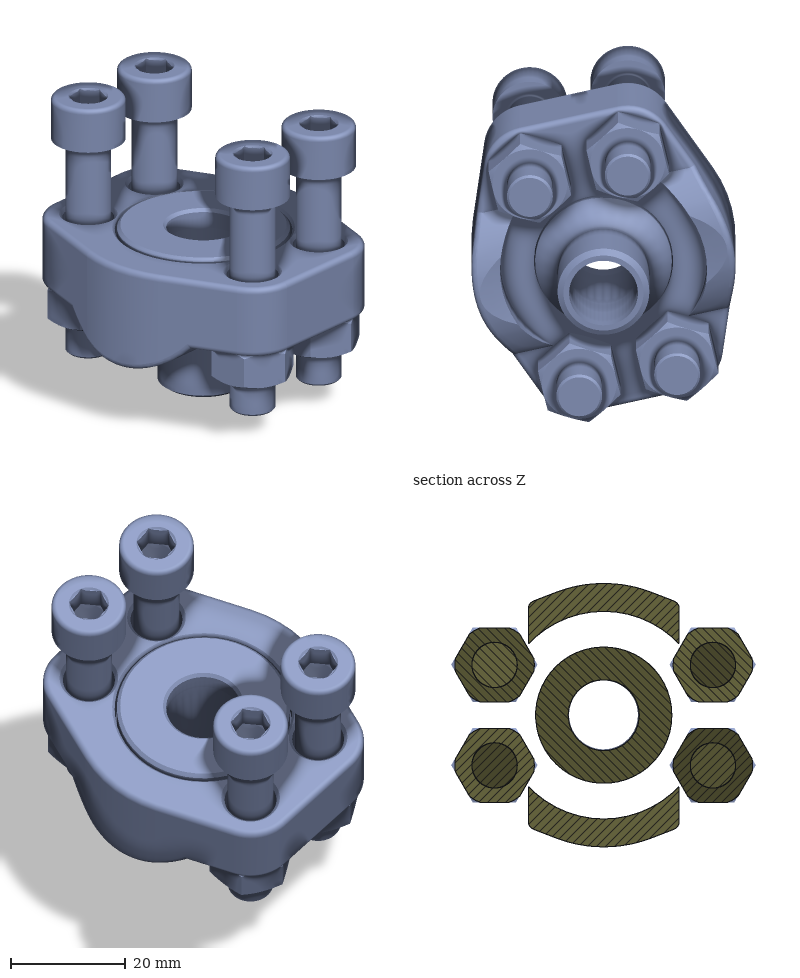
import cadquery as cq
import math

overall_height = 51.6

bolt_spacing_x = 38.0
bolt_spacing_y = 17.5
corner_x = bolt_spacing_x / 2
corner_y = bolt_spacing_y / 2
bolt_places = [(sign_x * corner_x, sign_y * corner_y, 0) for sign_x in (-1, 1) for sign_y in (-1, 1)]

flange_length = 54.0
flange_width = 45.95
flange_thickness = 13.0
end_radius = flange_width / 2
corner_radius = flange_length / 2 - corner_x
edge_fillet = 1.0
bolt_hole_diameter = 9.0
bolt_hole_chamfer = 0.6
seat_bore_diameter = 30.95
seat_bore_chamfer = 0.45
neck_bore_diameter = 24.25

lobe_depth = 6.0
lobe_radius = 18.0
hollow_diameter = 36.05
hollow_flare_height = 1.2
hollow_flare_width = 3.95

nipple_rise = 0.55
nipple_top = flange_thickness + nipple_rise
nipple_head_diameter = 30.2
nipple_head_height = 6.5
nipple_head_chamfer = 0.6
nipple_neck_diameter = 23.8
nipple_cone_top = -0.6
nipple_cone_bottom = -5.35
nipple_cone_fillet = 0.8
nipple_tube_diameter = 16.0
nipple_bottom = -16.25
nipple_tip_run = 1.0
nipple_tip_rise = 0.7
mouth_diameter = 13.0
mouth_chamfer = 0.55
mouth_depth = 3.45
nipple_bore_diameter = 12.0
bore_taper_bottom = nipple_cone_bottom
seat_height = nipple_top - nipple_head_height

bolt_top = nipple_bottom + overall_height
bolt_bottom = -12.95
bolt_diameter = 8.0
bolt_tip_chamfer = 0.4
head_diameter = 13.0
head_height = 8.0
head_bottom = bolt_top - head_height
head_fillet = 0.8
neck_diameter = 7.8
neck_length = 0.95
neck_fillet = 0.4
socket_width = 6.0
socket_depth = 4.55
socket_cone_height = 1.75
socket_mouth_diameter = 6.95
socket_chamfer = 0.3
socket_angle = -24.0

nut_width = 13.0
nut_height = 6.5
nut_face_diameter = 13.0
nut_chamfer_angle = 30.0

selection_margin = 0.05


def across_corners(width_across_flats):
    return width_across_flats / math.cos(math.radians(30))


def cylinder(diameter, bottom, top):
    return cq.Workplane("XY", origin=(0, 0, bottom)).circle(diameter / 2).extrude(top - bottom)


def countersink(diameter, top, size):
    """A 45 degree cone that breaks the upper rim of a hole by the given size."""
    return cq.Workplane(cq.Solid.makeCone(diameter / 2, diameter / 2 + size, size, (0, 0, top - size)))


def round_edge(diameter, height):
    """Selects the circular edge of the given diameter about Z that lies at the given height."""
    half_width = diameter / 2 + selection_margin
    return cq.selectors.BoxSelector(
        (-half_width, -half_width, height - selection_margin),
        (half_width, half_width, height + selection_margin),
        boundingbox=True,
    )


def flange_outline(bottom):
    """Corner arcs about the bolt places, end arcs about the origin, joined by tangent lines."""
    corner_distance = math.hypot(corner_x, corner_y)
    corner_bearing = math.atan2(corner_y, corner_x)
    slant_normal = corner_bearing + math.acos((end_radius - corner_radius) / corner_distance)
    side_x = flange_length / 2
    slant_x = corner_x + corner_radius * math.cos(slant_normal)
    slant_y = corner_y + corner_radius * math.sin(slant_normal)
    middle_x = corner_x + corner_radius * math.cos(slant_normal / 2)
    middle_y = corner_y + corner_radius * math.sin(slant_normal / 2)
    end_x = end_radius * math.cos(slant_normal)
    end_y = end_radius * math.sin(slant_normal)
    return (
        cq.Workplane("XY", origin=(0, 0, bottom))
        .moveTo(side_x, -corner_y)
        .lineTo(side_x, corner_y)
        .threePointArc((middle_x, middle_y), (slant_x, slant_y))
        .lineTo(end_x, end_y)
        .threePointArc((0, end_radius), (-end_x, end_y))
        .lineTo(-slant_x, slant_y)
        .threePointArc((-middle_x, middle_y), (-side_x, corner_y))
        .lineTo(-side_x, -corner_y)
        .threePointArc((-middle_x, -middle_y), (-slant_x, -slant_y))
        .lineTo(-end_x, -end_y)
        .threePointArc((0, -end_radius), (end_x, -end_y))
        .lineTo(slant_x, -slant_y)
        .threePointArc((middle_x, -middle_y), (side_x, -corner_y))
        .close()
    )


def make_flange_blank():
    """Plate and lobes, rounded along the top and bottom outer edges."""
    half_span = math.sqrt(lobe_radius**2 - (lobe_radius - lobe_depth) ** 2)
    lobe_bar = (
        cq.Workplane("XZ")
        .moveTo(-half_span, 0)
        .threePointArc((0, -lobe_depth), (half_span, 0))
        .close()
        .extrude(flange_width, both=True)
    )
    lobes = flange_outline(-lobe_depth).extrude(lobe_depth).intersect(lobe_bar)
    blank = flange_outline(0).extrude(flange_thickness).union(lobes)
    underside = cq.selectors.BoxSelector(
        (-flange_length, -flange_width, -flange_thickness), (flange_length, flange_width, edge_fillet)
    )
    creases = cq.selectors.BoxSelector(
        (-corner_x, -edge_fillet, -edge_fillet), (corner_x, edge_fillet, edge_fillet)
    )
    rims = cq.selectors.SubtractSelector(underside, creases)
    return blank.edges(rims).fillet(edge_fillet).faces(">Z").edges().fillet(edge_fillet)


def make_flange():
    """Blank with the lobes hollowed out, the stepped nipple bore and the bolt holes."""
    hollow_radius = hollow_diameter / 2
    hollow = (
        cq.Workplane("XZ")
        .lineTo(hollow_radius, 0)
        .lineTo(hollow_radius, -lobe_depth + hollow_flare_height)
        .lineTo(hollow_radius + hollow_flare_width, -lobe_depth)
        .lineTo(0, -lobe_depth)
        .close()
        .revolve(360, (0, 0), (0, 1))
    )
    neck_bore = cylinder(neck_bore_diameter, 0, flange_thickness)
    seat_bore = cylinder(seat_bore_diameter, seat_height, flange_thickness)
    flange = make_flange_blank().cut(hollow).cut(neck_bore).cut(seat_bore)
    flange = flange.cut(countersink(seat_bore_diameter, flange_thickness, seat_bore_chamfer))
    for place in bolt_places:
        bolt_hole = cylinder(bolt_hole_diameter, 0, flange_thickness)
        bolt_hole = bolt_hole.union(countersink(bolt_hole_diameter, flange_thickness, bolt_hole_chamfer))
        flange = flange.cut(bolt_hole.translate(place))
    return flange


def make_nipple():
    """Flanged head, neck, cone and tube turned about Z, bored right through."""
    head_radius = nipple_head_diameter / 2
    neck_radius = nipple_neck_diameter / 2
    tube_radius = nipple_tube_diameter / 2
    mouth_radius = mouth_diameter / 2
    bore_radius = nipple_bore_diameter / 2
    return (
        cq.Workplane("XZ")
        .moveTo(mouth_radius + mouth_chamfer, nipple_top)
        .lineTo(head_radius - nipple_head_chamfer, nipple_top)
        .lineTo(head_radius, nipple_top - nipple_head_chamfer)
        .lineTo(head_radius, seat_height)
        .lineTo(neck_radius, seat_height)
        .lineTo(neck_radius, nipple_cone_top)
        .lineTo(tube_radius, nipple_cone_bottom)
        .lineTo(tube_radius, nipple_bottom + nipple_tip_rise)
        .lineTo(tube_radius - nipple_tip_run, nipple_bottom)
        .lineTo(bore_radius, nipple_bottom)
        .lineTo(bore_radius, bore_taper_bottom)
        .lineTo(mouth_radius, nipple_top - mouth_depth)
        .lineTo(mouth_radius, nipple_top - mouth_chamfer)
        .close()
        .revolve(360, (0, 0), (0, 1))
        .edges(round_edge(nipple_tube_diameter, nipple_cone_bottom))
        .fillet(nipple_cone_fillet)
    )


def make_bolt():
    """Socket-head cap screw on the Z axis."""
    neck_bottom = head_bottom - neck_length
    shank = cylinder(bolt_diameter, bolt_bottom, neck_bottom).faces("<Z").chamfer(bolt_tip_chamfer)
    head = cylinder(head_diameter, head_bottom, bolt_top).faces(">Z").edges().fillet(head_fillet)
    socket_floor = bolt_top - socket_depth
    socket = (
        cq.Workplane("XY", origin=(0, 0, socket_floor))
        .transformed(rotate=(0, 0, socket_angle))
        .polygon(6, across_corners(socket_width))
        .extrude(socket_depth)
    )
    socket_tip = cq.Workplane(
        cq.Solid.makeCone(
            0,
            socket_width / 2,
            socket_cone_height,
            (0, 0, socket_floor - socket_cone_height),
        )
    )
    socket_mouth = cq.Workplane(
        cq.Solid.makeCone(
            socket_mouth_diameter / 2 - socket_chamfer,
            socket_mouth_diameter / 2,
            socket_chamfer,
            (0, 0, bolt_top - socket_chamfer),
        )
    )
    neck = cylinder(neck_diameter, neck_bottom, head_bottom)
    neck_rim = round_edge(neck_diameter, head_bottom)
    bolt = head.union(neck).edges(neck_rim).fillet(neck_fillet).union(shank)
    return bolt.cut(socket).cut(socket_tip).cut(socket_mouth)


def make_nut():
    """Hexagon nut on the Z axis against the flange, corners turned off at both ends."""
    corner_circle = across_corners(nut_width)
    chamfer_run = (corner_circle - nut_face_diameter) / 2
    chamfer_rise = chamfer_run * math.tan(math.radians(nut_chamfer_angle))
    turned = (
        cylinder(corner_circle, -nut_height, 0)
        .faces(">Z or <Z")
        .chamfer(chamfer_rise, chamfer_run)
    )
    hexagon = cq.Workplane("XY").polygon(6, corner_circle).extrude(-nut_height)
    return hexagon.intersect(turned).cut(cylinder(bolt_diameter, -nut_height, 0))


flange = make_flange()
nipple = make_nipple()
bolts = [make_bolt().translate(place) for place in bolt_places]
nuts = [make_nut().translate(place) for place in bolt_places]
result = cq.Compound.makeCompound(
    [flange.val(), nipple.val(), *[bolt.val() for bolt in bolts], *[nut.val() for nut in nuts]]
)